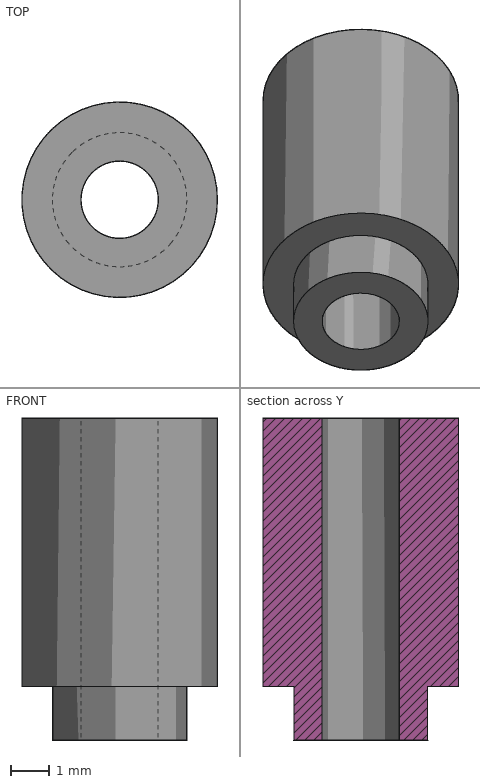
import cadquery as cq

total_height = 8.4
spigot_height = 1.4
body_diameter = 5.1
spigot_diameter = 3.5
bore_diameter = 2.01

body_height = total_height - spigot_height

spigot = cq.Workplane("XY").circle(spigot_diameter / 2).extrude(spigot_height)

stepped_body = spigot.faces(">Z").workplane().circle(body_diameter / 2).extrude(body_height)

result = stepped_body.faces(">Z").workplane().hole(bore_diameter)